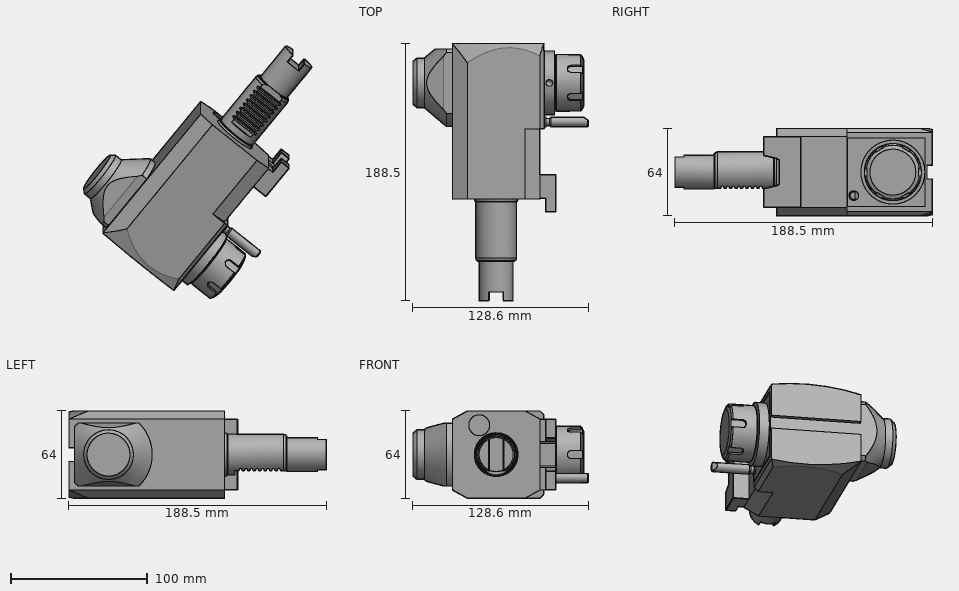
import cadquery as cq
import math


HOUSING_LENGTH = 114.0
HOUSING_HALF_HEIGHT = 32.0
HOUSING_HALF_WIDTH = 32.0
HEAD_FACE_X = 35.0
HEAD_START_Y = 51.4
BEVEL_X = 11.0
BEVEL_Z = 6.0
HEAD_CHAMFER = 3.0
CROWN_CENTER_X = 9.6
CROWN_EDGE_Z = 31.2
CROWN_RADIUS = 165.0
CROWN_ANGLE = 14.0
REAR_SLOT_WIDTH = 10.0
REAR_SLOT_DEPTH = 4.0
PLUG_X = -12.4
PLUG_Z = 21.5
PLUG_DIAMETER = 15.3
PLUG_DEPTH = 1.5

SPINDLE_Y = 85.0
BOSS_RADIUS = 32.0
BOSS_RIM_X = -36.4
BOSS_HALF_HEIGHT = 23.0
BOSS_TOP_Y = HOUSING_LENGTH - REAR_SLOT_DEPTH
BOSS_SLOPE_START_X = -38.5
BOSS_SLOPE_ANGLE = 15.0
CAP_INNER_X = -52.6
CAP_END_X = -61.0
CAP_RADIUS = 18.2
CAP_CHAMFER_X = 3.0
CAP_CHAMFER_R = 2.5

PAD_THICKNESS = 0.5
PAD_MARGIN = 0.3
PAD_LENGTH = 57.0
PAD_HALF_HEIGHT = 25.0
PAD_X = HEAD_FACE_X + PAD_THICKNESS
RING_END_X = 42.7
RING_RADIUS = 23.4
DIMPLE_X = 39.0
DIMPLE_RADIUS = 2.5
CHUCK_NECK_RADIUS = 17.4
NUT_START_X = 43.5
NUT_SHOULDER_X = 61.9
NUT_RIM_X = 63.0
NUT_END_X = 64.1
NUT_RADIUS = 20.9
NUT_RIM_RADIUS = 19.6
NUT_BACK_CHAMFER = 0.5
NUT_NOSE_RADIUS = 16.8
NUT_SLOTS = 6
NUT_SLOT_WIDTH = 6.0
NUT_SLOT_DEPTH = 2.0
NUT_SLOT_START_X = 52.1
NUT_SLOT_END_X = 63.7

PIN_Y = 56.4
PIN_Z = -17.2
PIN_RADIUS = 3.5
PIN_NECK_RADIUS = 2.75
PIN_NECK_START_X = 36.5
PIN_NECK_END_X = 39.0
PIN_BODY_X = 40.2
PIN_END_X = 67.63
PIN_CHAMFER = 0.8
PIN_BEVEL_X = 3.4
PIN_BEVEL_Y = 2.5

KEY_END_X = 43.8
KEY_LEG_X = 36.0
KEY_LENGTH = 17.9
KEY_HALF_HEIGHT = 26.0
KEY_LEG_LENGTH = 9.6
KEY_LEG_ROOT_Z = 9.6
KEY_LEG_TIP_Z = 12.0
KEY_SETBACK = 0.5
KEY_RECESS_DEPTH = 1.3
KEY_CHAMFER = 0.4

SHANK_RADIUS = 15.0
COLLAR_RADIUS = 16.0
COLLAR_LENGTH = 1.7
COLLAR_TAPER = 0.5
SHANK_NECK_RADIUS = 14.5
SHANK_START = 2.3
SHANK_CHAMFER_START = 43.2
SHANK_CHAMFER_END = 45.0
SHANK_END_RADIUS = 14.4
SHANK_LENGTH = 45.7
SHANK_STEP_RADIUS = 13.5
FLAT_START = 7.5
FLAT_Z = -12.0
TOOTH_PITCH = 4.0
TOOTH_VALLEYS = 8
FIRST_VALLEY = 11.7
VALLEY_DEPTH = 1.7
VALLEY_FLOOR = 1.0
VALLEY_MOUTH = 2.8

TANG_RADIUS = 12.5
TANG_END = 74.5
TANG_SLOT_WIDTH = 10.0
TANG_SLOT_DEPTH = 6.5
TANG_CHAMFER = 0.6


def box(x_range, y_range, z_range):
    """Box between two limits along each axis."""
    size = [high - low for low, high in (x_range, y_range, z_range)]
    corner = (x_range[0], y_range[0], z_range[0])
    return cq.Workplane("XY").box(*size, centered=False).translate(corner)


def turned_about_x(profile, y=0.0, z=0.0):
    """Solid turned about a line along X; the profile lists (x, radius) from end to end."""
    points = [(profile[0][0], 0.0)] + profile + [(profile[-1][0], 0.0)]
    outline = cq.Workplane("XY").polyline(points).close()
    return outline.revolve(360, (0, 0, 0), (1, 0, 0)).translate((0, y, z))


def turned_about_y(profile):
    """Solid turned about the Y axis; the profile lists (radius, y) from end to end."""
    points = [(0.0, profile[0][1])] + profile + [(0.0, profile[-1][1])]
    return cq.Workplane("XY").polyline(points).close().revolve(360, (0, 0, 0), (0, 1, 0))


def prism_along_y(points, y_start, y_end):
    """Prism with an (x, z) outline between two Y positions."""
    sketch = cq.Workplane("XZ", origin=(0, y_start, 0))
    return sketch.polyline(points).close().extrude(y_start - y_end)


def prism_along_x(points, x_start, x_end):
    """Prism with a (y, z) outline between two X positions."""
    sketch = cq.Workplane("YZ", origin=(x_start, 0, 0))
    return sketch.polyline(points).close().extrude(x_end - x_start)


def mirrored_outline(upper_points):
    """Closed outline from its upper half, mirrored about the X axis."""
    return upper_points + [(x, -z) for x, z in reversed(upper_points)]


def crown_cone():
    """Large cone about a line along Y that bevels the upper rear edge of the housing."""
    center_z = CROWN_EDGE_Z - CROWN_RADIUS
    front_radius = CROWN_RADIUS + HOUSING_LENGTH * math.tan(math.radians(CROWN_ANGLE))
    cone = cq.Solid.makeCone(
        front_radius,
        CROWN_RADIUS,
        HOUSING_LENGTH,
        pnt=cq.Vector(CROWN_CENTER_X, 0, center_z),
        dir=cq.Vector(0, 1, 0),
    )
    return cq.Workplane(obj=cone)


def make_housing():
    inner_x = HOUSING_HALF_WIDTH - BEVEL_X
    bevel_z = HOUSING_HALF_HEIGHT - BEVEL_Z
    left_bevel = [(-HOUSING_HALF_WIDTH, bevel_z), (-inner_x, HOUSING_HALF_HEIGHT)]
    right_bevel = [(inner_x, HOUSING_HALF_HEIGHT), (HOUSING_HALF_WIDTH, bevel_z)]
    head_bevel = [
        (HEAD_FACE_X - HEAD_CHAMFER, HOUSING_HALF_HEIGHT),
        (HEAD_FACE_X, HOUSING_HALF_HEIGHT - HEAD_CHAMFER),
    ]
    body = prism_along_y(mirrored_outline(left_bevel + right_bevel), 0, HEAD_START_Y)
    head = prism_along_y(mirrored_outline(left_bevel + head_bevel), HEAD_START_Y, HOUSING_LENGTH)
    upper_cone = crown_cone()
    housing = body.union(head).intersect(upper_cone).intersect(upper_cone.mirror("XY"))

    half_slot = REAR_SLOT_WIDTH / 2
    rear_slot = box(
        (-HOUSING_HALF_WIDTH, HEAD_FACE_X),
        (BOSS_TOP_Y, HOUSING_LENGTH),
        (-half_slot, half_slot),
    )
    plug_recess = (
        cq.Workplane("XZ")
        .center(PLUG_X, PLUG_Z)
        .circle(PLUG_DIAMETER / 2)
        .extrude(-PLUG_DEPTH)
    )
    return housing.cut(rear_slot).cut(plug_recess)


def make_boss():
    boss = turned_about_x(
        [
            (CAP_INNER_X, CAP_RADIUS),
            (BOSS_RIM_X, BOSS_RADIUS),
            (-HOUSING_HALF_WIDTH, BOSS_RADIUS),
        ],
        SPINDLE_Y,
    )
    slope_run = BOSS_SLOPE_START_X - CAP_INNER_X
    slope_drop = slope_run * math.tan(math.radians(BOSS_SLOPE_ANGLE))
    flats = mirrored_outline(
        [
            (CAP_INNER_X, BOSS_HALF_HEIGHT - slope_drop),
            (BOSS_SLOPE_START_X, BOSS_HALF_HEIGHT),
            (-HOUSING_HALF_WIDTH, BOSS_HALF_HEIGHT),
        ]
    )
    boss = boss.intersect(prism_along_y(flats, SPINDLE_Y - BOSS_RADIUS, BOSS_TOP_Y))
    cap = turned_about_x(
        [
            (CAP_END_X, CAP_RADIUS - CAP_CHAMFER_R),
            (CAP_END_X + CAP_CHAMFER_X, CAP_RADIUS),
            (CAP_INNER_X, CAP_RADIUS),
        ],
        SPINDLE_Y,
    )
    return boss.union(cap)


def make_chuck():
    pad_start_y = HEAD_START_Y + PAD_MARGIN
    pad = box(
        (HEAD_FACE_X, PAD_X),
        (pad_start_y, pad_start_y + PAD_LENGTH),
        (-PAD_HALF_HEIGHT, PAD_HALF_HEIGHT),
    )
    chuck = turned_about_x(
        [
            (PAD_X, RING_RADIUS),
            (RING_END_X, RING_RADIUS),
            (RING_END_X, CHUCK_NECK_RADIUS),
            (NUT_START_X, CHUCK_NECK_RADIUS),
            (NUT_START_X, NUT_RADIUS - NUT_BACK_CHAMFER),
            (NUT_START_X + NUT_BACK_CHAMFER, NUT_RADIUS),
            (NUT_SHOULDER_X, NUT_RADIUS),
            (NUT_RIM_X, NUT_RIM_RADIUS),
            (NUT_END_X, NUT_NOSE_RADIUS),
        ],
        SPINDLE_Y,
    )
    slot_spacing = 360 / NUT_SLOTS
    for index in range(NUT_SLOTS):
        chuck = chuck.cut(nut_slot((index + 0.5) * slot_spacing))
    dimple = cq.Solid.makeCone(
        0,
        DIMPLE_RADIUS,
        DIMPLE_RADIUS,
        pnt=cq.Vector(DIMPLE_X, SPINDLE_Y, RING_RADIUS - DIMPLE_RADIUS),
        dir=cq.Vector(0, 0, 1),
    )
    return pad.union(chuck.cut(cq.Workplane(obj=dimple)))


def nut_slot(angle):
    """Round-ended wrench slot in the nut, turned by an angle from the top."""
    half_width = NUT_SLOT_WIDTH / 2
    slot = (
        cq.Workplane("XY", origin=(0, SPINDLE_Y, NUT_RADIUS - NUT_SLOT_DEPTH))
        .moveTo(NUT_SLOT_END_X, -half_width)
        .lineTo(NUT_SLOT_START_X + half_width, -half_width)
        .threePointArc((NUT_SLOT_START_X, 0), (NUT_SLOT_START_X + half_width, half_width))
        .lineTo(NUT_SLOT_END_X, half_width)
        .close()
        .extrude(2 * NUT_SLOT_DEPTH)
    )
    return slot.rotate((0, SPINDLE_Y, 0), (1, SPINDLE_Y, 0), angle)


def make_pin():
    pin = turned_about_x(
        [
            (HEAD_FACE_X, PIN_RADIUS),
            (PIN_NECK_START_X, PIN_RADIUS),
            (PIN_NECK_START_X, PIN_NECK_RADIUS),
            (PIN_NECK_END_X, PIN_NECK_RADIUS),
            (PIN_BODY_X, PIN_RADIUS),
            (PIN_END_X - PIN_CHAMFER, PIN_RADIUS),
            (PIN_END_X, PIN_RADIUS - PIN_CHAMFER),
        ],
        PIN_Y,
        PIN_Z,
    )
    side_y = PIN_Y + PIN_RADIUS
    bevel = (
        cq.Workplane("XY", origin=(0, 0, PIN_Z - PIN_RADIUS))
        .moveTo(PIN_END_X - PIN_BEVEL_X, side_y)
        .lineTo(PIN_END_X, side_y)
        .lineTo(PIN_END_X, side_y - PIN_BEVEL_Y)
        .close()
        .extrude(2 * PIN_RADIUS)
    )
    return pin.cut(bevel)


def make_key():
    inner_z = KEY_LEG_ROOT_Z - KEY_RECESS_DEPTH
    recess_y = KEY_SETBACK + KEY_RECESS_DEPTH
    bar = prism_along_x(
        [
            (KEY_LENGTH, -KEY_HALF_HEIGHT),
            (KEY_LENGTH, KEY_HALF_HEIGHT),
            (KEY_SETBACK, KEY_HALF_HEIGHT),
            (KEY_SETBACK, KEY_LEG_ROOT_Z),
            (recess_y, inner_z),
            (recess_y, -inner_z),
            (KEY_SETBACK, -KEY_LEG_ROOT_Z),
            (KEY_SETBACK, -KEY_HALF_HEIGHT),
        ],
        HOUSING_HALF_WIDTH,
        KEY_END_X,
    )
    upper_leg = prism_along_x(
        [
            (KEY_SETBACK, KEY_LEG_ROOT_Z),
            (-KEY_LEG_LENGTH, KEY_LEG_TIP_Z),
            (-KEY_LEG_LENGTH, KEY_HALF_HEIGHT),
            (KEY_SETBACK, KEY_HALF_HEIGHT),
        ],
        KEY_LEG_X,
        KEY_END_X,
    )
    key = bar.union(upper_leg).union(upper_leg.mirror("XY"))
    leg_sides = key.faces(cq.selectors.BoxSelector(
        (KEY_LEG_X - KEY_CHAMFER, -KEY_LEG_LENGTH, -KEY_HALF_HEIGHT),
        (KEY_LEG_X + KEY_CHAMFER, 0, KEY_HALF_HEIGHT),
    )).edges("not(>Y)")
    outer_edges = key.faces(">X or >Y or <Y").edges("not(<X)")
    return key.newObject(list(set(outer_edges.vals() + leg_sides.vals()))).chamfer(KEY_CHAMFER)


def make_shank():
    shank = turned_about_y(
        [
            (COLLAR_RADIUS, 0),
            (COLLAR_RADIUS - COLLAR_TAPER, -COLLAR_LENGTH),
            (SHANK_NECK_RADIUS, -COLLAR_LENGTH),
            (SHANK_NECK_RADIUS, -SHANK_START),
            (SHANK_RADIUS, -SHANK_START),
            (SHANK_RADIUS, -SHANK_CHAMFER_START),
            (SHANK_END_RADIUS, -SHANK_CHAMFER_END),
            (SHANK_STEP_RADIUS, -SHANK_CHAMFER_END),
            (SHANK_STEP_RADIUS, -SHANK_LENGTH),
        ]
    )
    flat = box(
        (-SHANK_RADIUS, SHANK_RADIUS),
        (-SHANK_LENGTH, -FLAT_START),
        (-SHANK_RADIUS, FLAT_Z),
    )
    shank = shank.cut(flat)
    valley = prism_along_x(
        [
            (-VALLEY_MOUTH / 2, FLAT_Z),
            (VALLEY_MOUTH / 2, FLAT_Z),
            (VALLEY_FLOOR / 2, FLAT_Z + VALLEY_DEPTH),
            (-VALLEY_FLOOR / 2, FLAT_Z + VALLEY_DEPTH),
        ],
        -SHANK_RADIUS,
        SHANK_RADIUS,
    )
    for index in range(TOOTH_VALLEYS):
        shank = shank.cut(valley.translate((0, -FIRST_VALLEY - index * TOOTH_PITCH, 0)))
    return shank


def make_tang():
    tang = turned_about_y([(TANG_RADIUS, -SHANK_LENGTH), (TANG_RADIUS, -TANG_END)])
    half_slot = TANG_SLOT_WIDTH / 2
    slot_floor_y = TANG_SLOT_DEPTH - TANG_END
    slot = box(
        (-half_slot, half_slot),
        (-TANG_END, slot_floor_y),
        (-TANG_RADIUS, TANG_RADIUS),
    )
    tang = tang.cut(slot)
    slot_walls = cq.selectors.BoxSelector(
        (-half_slot - TANG_CHAMFER, -TANG_END - TANG_CHAMFER, -TANG_RADIUS),
        (half_slot + TANG_CHAMFER, slot_floor_y - TANG_CHAMFER, TANG_RADIUS),
    )
    return tang.edges(slot_walls).chamfer(TANG_CHAMFER)


result = make_housing()
for feature in (make_boss(), make_chuck(), make_pin(), make_key(), make_shank(), make_tang()):
    result = result.union(feature)